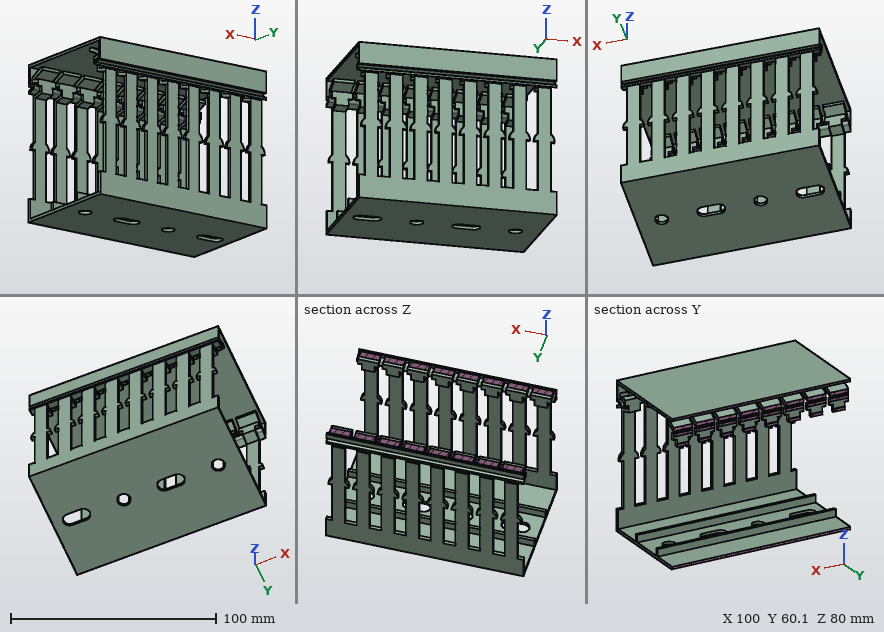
import cadquery as cq


length = 100.0
duct_width = 60.1
total_height = 80.0
half_duct = duct_width / 2

wall = 1.8
floor_thickness = 1.6
rib_spacing = 20.0
rib_thickness = 1.5
rib_height = 5.6

finger_count = 8
finger_pitch = length / finger_count
finger_width = 6.5
finger_root_z = 11.8
barb_z = 37.1
barb_radius = 5.2
head_width = 2 * barb_radius
head_z = 68.3

shoulder_inner_z = 63.4
shoulder_outer_z = 64.7
shoulder_rise = 1.3
neck_inner_y = 23.0
neck_thickness = 1.6
neck_outer_y = neck_inner_y + neck_thickness
arm_bottom_z = 70.1
arm_thickness = 1.5
arm_top_z = arm_bottom_z + arm_thickness
curl_start = (27.2, 70.4)
curl_middle = (28.4, 72.2)
curl_end = (27.4, 73.9)
curl_crotch = (26.7, 72.1)
tip_y = 19.5
tip_bottom_z = 75.3
tip_top_z = 76.9
tip_flat = 1.6

hole_diameter = 6.5
slot_length = 14.0
mount_count = 4
mount_pitch = length / mount_count

cover_width = 59.4
cover_thickness = 1.5
skirt_thickness = 1.2
half_cover = cover_width / 2
skirt_inner_y = half_cover - skirt_thickness
lip_bottom_z = 69.0
lip_top_z = lip_bottom_z + skirt_thickness

bead_lip_y = 28.0
bead_crotch = (26.2, 68.1)
bead_upper = (26.2, 69.5)
bead_middle = (25.0, 68.3)
bead_lower = (26.2, 66.9)
bead_end_top_z = 66.7
bead_end_bottom_z = 65.4


def extrude_both_halves(half_section):
    """Extrude a section of the +Y half along the full length and join it to its mirror image."""
    half = half_section.close().extrude(length)
    return half.union(half.mirror("XZ"))


def section_plane():
    """YZ plane at the -X end of the duct."""
    return cq.Workplane("YZ", origin=(-length / 2, 0, 0))


def box_between(x_start, x_end, z_start, z_end):
    """Box across the whole duct width, for cutting both side walls at once."""
    size = (x_end - x_start, duct_width, z_end - z_start)
    return cq.Workplane("XY").box(*size, centered=(False, True, False)).translate((x_start, 0, z_start))


def make_channel():
    section = (
        section_plane()
        .moveTo(0, 0)
        .lineTo(half_duct, 0)
        .lineTo(half_duct, shoulder_outer_z)
        .lineTo(neck_outer_y, shoulder_outer_z + shoulder_rise)
        .lineTo(neck_outer_y, arm_bottom_z)
        .lineTo(*curl_start)
        .threePointArc(curl_middle, curl_end)
        .lineTo(tip_y + tip_flat, tip_top_z)
        .lineTo(tip_y, tip_top_z)
        .lineTo(tip_y, tip_bottom_z)
        .lineTo(*curl_crotch)
        .lineTo(neck_inner_y, arm_top_z)
        .lineTo(neck_inner_y, shoulder_inner_z + shoulder_rise)
        .lineTo(half_duct - wall, shoulder_inner_z)
        .lineTo(half_duct - wall, floor_thickness)
        .lineTo(0, floor_thickness)
    )
    return extrude_both_halves(section)


def make_ribs():
    return (
        cq.Workplane("XY")
        .pushPoints([(0, -rib_spacing / 2), (0, rib_spacing / 2)])
        .rect(length, rib_thickness)
        .extrude(rib_height)
    )


def make_finger_gaps():
    """Gaps centred between the fingers: wide beside the shanks, narrow beside the clip heads."""
    shank_gap = finger_pitch - finger_width
    head_gap = finger_pitch - head_width
    gaps = cq.Workplane("XY")
    for i in range(finger_count + 1):
        x = i * finger_pitch - length / 2
        gaps = gaps.add(box_between(x - shank_gap / 2, x + shank_gap / 2, finger_root_z, head_z))
        gaps = gaps.add(box_between(x - head_gap / 2, x + head_gap / 2, head_z, total_height))
    return gaps.combine()


def make_barbs():
    """Half discs, flat side down, that widen every finger part-way up."""
    barbs = cq.Workplane("XY")
    for wall_outer_y in (-half_duct + wall, half_duct):
        barbs = barbs.add(
            cq.Workplane("XZ", origin=(0, wall_outer_y, barb_z))
            .rarray(finger_pitch, 1, finger_count, 1)
            .eachpoint(half_disc, combine=False)
        )
    return barbs


def half_disc(location):
    disc = (
        cq.Workplane("XY")
        .moveTo(-barb_radius, 0)
        .threePointArc((0, barb_radius), (barb_radius, 0))
        .close()
        .extrude(wall)
    )
    return disc.val().moved(location)


def make_mounting_holes():
    holes = cq.Workplane("XY")
    for i in range(mount_count):
        x = (i - (mount_count - 1) / 2) * mount_pitch
        outline = cq.Workplane("XY", origin=(x, 0, 0))
        if i % 2 == 0:
            outline = outline.slot2D(slot_length, hole_diameter)
        else:
            outline = outline.circle(hole_diameter / 2)
        holes = holes.add(outline.extrude(floor_thickness))
    return holes.combine()


def make_duct():
    duct = make_channel().union(make_ribs()).cut(make_finger_gaps()).cut(make_mounting_holes())
    for barb in make_barbs().vals():
        duct = duct.union(cq.Workplane(barb))
    return duct


def make_cover():
    section = (
        section_plane()
        .moveTo(0, total_height)
        .lineTo(half_cover, total_height)
        .lineTo(half_cover, lip_bottom_z)
        .lineTo(bead_lip_y, lip_bottom_z)
        .lineTo(*bead_crotch)
        .lineTo(half_cover, bead_end_top_z)
        .lineTo(half_cover, bead_end_bottom_z)
        .lineTo(*bead_lower)
        .threePointArc(bead_middle, bead_upper)
        .lineTo(skirt_inner_y, lip_top_z)
        .lineTo(skirt_inner_y, total_height - cover_thickness)
        .lineTo(0, total_height - cover_thickness)
    )
    return extrude_both_halves(section)


duct = make_duct()
cover = make_cover()

result = cq.Compound.makeCompound([duct.val(), cover.val()])